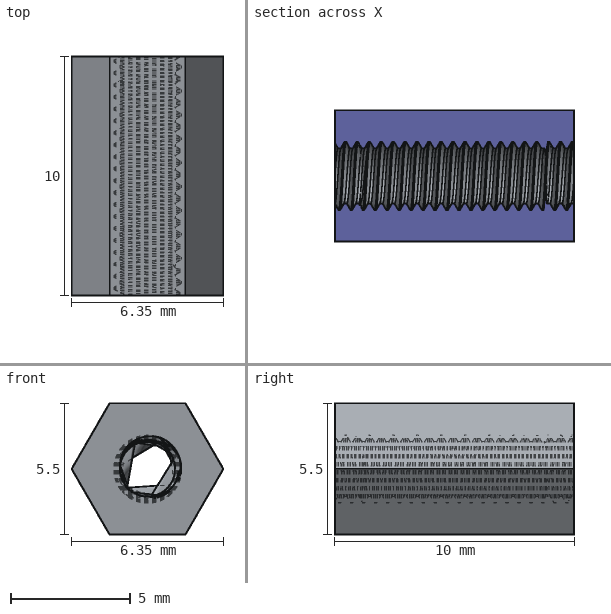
import cadquery as cq
import math

ACROSS_FLATS = 5.5
LENGTH = 10.0
CORNER_DIAMETER = ACROSS_FLATS / math.cos(math.pi / 6)

PITCH = 0.5
BORE_RADIUS = 1.15
FLANK_ANGLE = math.radians(30)
CREST_WIDTH = PITCH / 4
ROOT_WIDTH = PITCH / 8
GROOVE_DEPTH = (PITCH - CREST_WIDTH - ROOT_WIDTH) / 2 / math.tan(FLANK_ANGLE)
GROOVE_PHASE = 45.0
OVERRUN = 2 * PITCH
BORE_OVERLAP = 0.05


def hexagonal_body():
    """Hexagonal bar with two corners on the X axis and flats facing +Z and -Z."""
    return cq.Workplane("XZ").polygon(6, CORNER_DIAMETER).extrude(LENGTH / 2, both=True)


def bore():
    """Plain cylinder forming the crests of the thread."""
    return cq.Workplane("XZ").circle(BORE_RADIUS).extrude(LENGTH / 2, both=True)


def thread_groove():
    """Right-hand helical groove cutter, built along Z and then laid along Y."""
    root_radius = BORE_RADIUS + GROOVE_DEPTH
    inner_radius = BORE_RADIUS - BORE_OVERLAP
    half_root = ROOT_WIDTH / 2
    half_mouth = half_root + (GROOVE_DEPTH + BORE_OVERLAP) * math.tan(FLANK_ANGLE)
    helix = cq.Wire.makeHelix(PITCH, LENGTH + 2 * OVERRUN, BORE_RADIUS)
    profile = cq.Workplane("XZ").polyline([
        (inner_radius, -half_mouth),
        (root_radius, -half_root),
        (root_radius, half_root),
        (inner_radius, half_mouth),
    ]).close()
    groove = profile.sweep(cq.Workplane(helix), isFrenet=True)
    return (
        groove
        .translate((0, 0, -LENGTH / 2 - OVERRUN))
        .rotate((0, 0, 0), (1, 0, 0), -90)
        .rotate((0, 0, 0), (0, 1, 0), -GROOVE_PHASE)
    )


body = hexagonal_body()
flush_groove = thread_groove().intersect(body)
result = body.cut(bore()).cut(flush_groove)